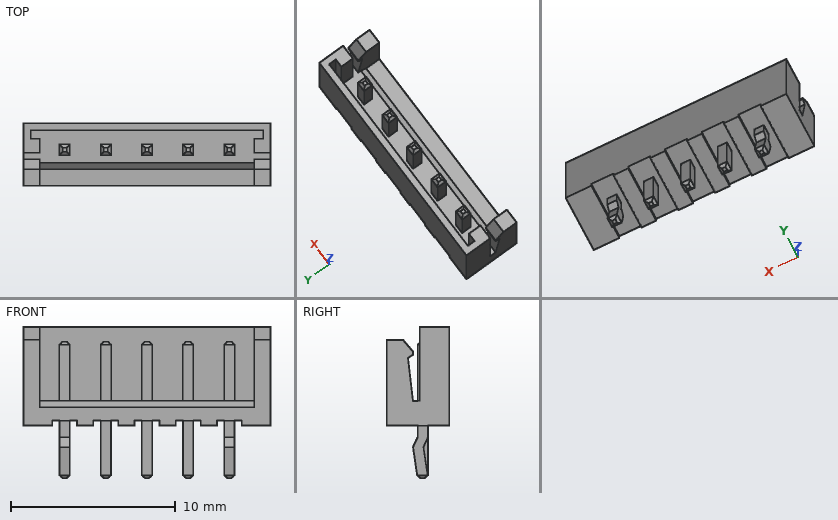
import cadquery as cq


pin_count = 5
pitch = 2.5
end_margin = 2.5
length = (pin_count - 1) * pitch + 2 * end_margin
depth = 3.8
height = 6.0
floor_height = 1.5
back_wall = 0.43
end_wall = 1.0

sill_height = 1.1
sill_top_y = -2.4
sill_bottom_y = sill_top_y - (floor_height - sill_height)

groove_wall = 0.43
groove_width = 0.5

post_front_y = -1.8
slot_width = 0.4
latch_top = 5.2
latch_tip_y = post_front_y - slot_width
latch_neck_y = -2.5
latch_neck_z = 4.1
latch_tip_low_z = 4.3
latch_tip_high_z = 4.5
latch_lead_y = -2.8

notch_width = 1.5
notch_height = 0.3

pin_size = 0.64
pin_y = -1.61
pin_top = 5.1
pin_bottom = -3.2
tip_length = 0.2
tip_size = pin_size - 2 * tip_length

kink_start_z = -0.7
kink_peak_z = -1.3
kink_offset = 0.28
tail_end_offset = 0.03


def side_prism(points, x_start, x_length):
    """Extrude an outline of (Y, Z) points along +X."""
    return cq.Workplane("YZ", origin=(x_start, 0, 0)).polyline(points).close().extrude(x_length)


def box(x_range, y_range, z_range):
    """Box between two limits on each axis."""
    sizes = [limits[1] - limits[0] for limits in (x_range, y_range, z_range)]
    corner = (x_range[0], y_range[0], z_range[0])
    return cq.Workplane("XY").box(*sizes, centered=False).translate(corner)


def make_end_wall(x_start):
    """End wall: full-height post at the back, slot, hooked latch at the front."""
    outline = [
        (0, 0),
        (0, height),
        (post_front_y, height),
        (post_front_y, floor_height),
        (post_front_y - slot_width, floor_height),
        (latch_neck_y, latch_neck_z),
        (latch_tip_y, latch_tip_low_z),
        (latch_tip_y, latch_tip_high_z),
        (latch_lead_y, latch_top),
        (-depth, latch_top),
        (-depth, 0),
    ]
    return side_prism(outline, x_start, end_wall)


def make_housing(pin_positions):
    half = length / 2
    trough = [
        (0, 0),
        (0, height),
        (-back_wall, height),
        (-back_wall, floor_height),
        (sill_top_y, floor_height),
        (sill_bottom_y, sill_height),
        (-depth, sill_height),
        (-depth, 0),
    ]
    housing = side_prism(trough, -half + end_wall, length - 2 * end_wall)
    housing = housing.union(make_end_wall(-half))
    housing = housing.union(make_end_wall(half - end_wall))

    groove_x = half - groove_wall
    housing = housing.cut(
        box((-groove_x, groove_x), (-back_wall - groove_width, -back_wall), (floor_height, height))
    )
    for x in pin_positions:
        notch_x = (x - notch_width / 2, x + notch_width / 2)
        housing = housing.cut(box(notch_x, (-depth, 0), (0, notch_height)))
    return housing


def make_tip(x, y, base_z, direction):
    """Tapered square pin end; direction is +1 for up and -1 for down."""
    tip = (
        cq.Workplane("XY", origin=(x, y, base_z))
        .rect(pin_size, pin_size)
        .workplane(offset=direction * tip_length)
        .rect(tip_size, tip_size)
        .loft(ruled=True)
    )
    return tip


def make_pin(x, kinked):
    """Square pin through the floor, with a straight or kinked tail."""
    shank_top = pin_top - tip_length
    shank_bottom = pin_bottom + tip_length
    axis = [(pin_y, shank_top)]
    if kinked:
        axis += [(pin_y, kink_start_z), (pin_y - kink_offset, kink_peak_z)]
    tail_y = pin_y - tail_end_offset if kinked else pin_y
    axis.append((tail_y, shank_bottom))

    half = pin_size / 2
    front_side = [(y - half, z) for y, z in axis]
    back_side = [(y + half, z) for y, z in reversed(axis)]
    pin = side_prism(front_side + back_side, x - half, pin_size)
    pin = pin.union(make_tip(x, pin_y, shank_top, 1))
    return pin.union(make_tip(x, tail_y, shank_bottom, -1))


pin_positions = [(i - (pin_count - 1) / 2) * pitch for i in range(pin_count)]
end_positions = (pin_positions[0], pin_positions[-1])

result = make_housing(pin_positions)
for x in pin_positions:
    result = result.union(make_pin(x, x in end_positions))